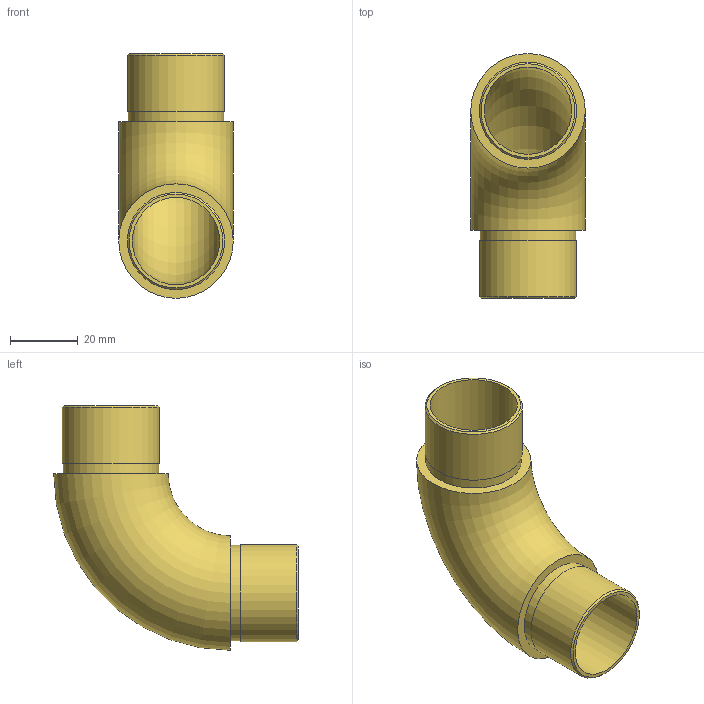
import cadquery as cq

body_diameter = 33.7
overall_length = 72.0

spigot_diameter = 28.6
spigot_length = 20.0
relief_diameter = 28.2
relief_length = 3.0
end_chamfer = 0.5

wall_thickness = 4.0
bore_diameter = body_diameter - 2 * wall_thickness

bend_radius = overall_length - spigot_length - body_diameter / 2
bend_angle = 90


def quarter_bend(diameter):
    """Quarter torus from the vertical leg (centred on the Z axis) to the -Y leg."""
    return (
        cq.Workplane("XY")
        .circle(diameter / 2)
        .revolve(bend_angle, (1, -bend_radius, 0), (-1, -bend_radius, 0))
    )


def straight_cylinder(diameter, length):
    """Cylinder rising along Z from the upper end of the bend."""
    return cq.Workplane("XY").circle(diameter / 2).extrude(length)


def spigot():
    """Upright plug with a relief band at its foot and a chamfered free end."""
    relief = straight_cylinder(relief_diameter, relief_length)
    sleeve = (
        straight_cylinder(spigot_diameter, spigot_length - relief_length)
        .faces(">Z")
        .chamfer(end_chamfer)
        .translate((0, 0, relief_length))
    )
    return relief.union(sleeve)


def at_horizontal_end(upright):
    """Move an upright leg feature to the end of the bend that faces -Y."""
    facing_forward = upright.rotate((0, 0, 0), (1, 0, 0), bend_angle)
    return facing_forward.translate((0, -bend_radius, -bend_radius))


def on_both_ends(upright):
    """Return the feature once for each end of the bend."""
    return upright, at_horizontal_end(upright)


body = quarter_bend(body_diameter)
for plug in on_both_ends(spigot()):
    body = body.union(plug)

body = body.cut(quarter_bend(bore_diameter))
for leg_bore in on_both_ends(straight_cylinder(bore_diameter, spigot_length)):
    body = body.cut(leg_bore)

result = body